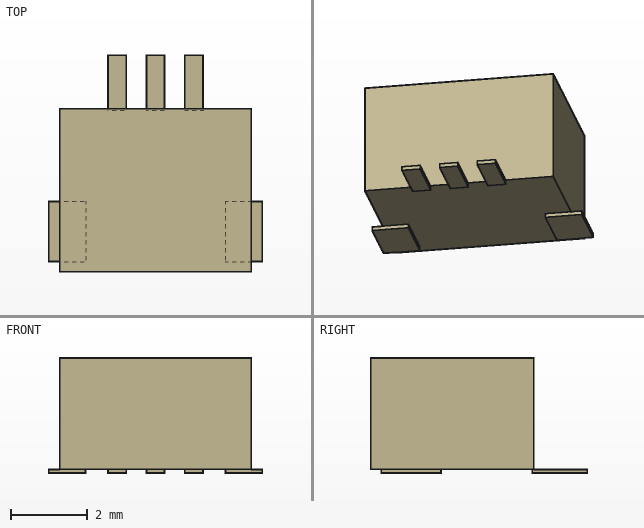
import cadquery as cq

total_width = 5.56
total_depth = 5.64
total_height = 3.0

housing_width = 4.995
housing_depth = 4.245
terminal_thickness = 0.1
housing_height = total_height - terminal_thickness

signal_count = 3
signal_pitch = 1.0
signal_width = 0.48
signal_length = 1.44

tab_width = 0.965
tab_depth = 1.56
tab_front_inset = 0.27

CORNER_AT_FRONT = (True, False, False)


def make_housing():
    return (
        cq.Workplane("XY")
        .box(housing_width, housing_depth, housing_height, centered=CORNER_AT_FRONT)
        .translate((0, 0, terminal_thickness))
    )


def make_signal_terminal(x):
    """Strip centred at x that ends at the rear of the part and reaches just under the housing."""
    return (
        cq.Workplane("XY")
        .box(signal_width, signal_length, terminal_thickness, centered=CORNER_AT_FRONT)
        .translate((x, total_depth - signal_length, 0))
    )


def make_mounting_tab(side):
    """Plate whose outer edge is the side of the part; side is -1 (left) or +1 (right)."""
    return (
        cq.Workplane("XY")
        .box(tab_width, tab_depth, terminal_thickness, centered=CORNER_AT_FRONT)
        .translate((side * (total_width - tab_width) / 2, tab_front_inset, 0))
    )


housing = make_housing()

signal_terminals = []
for index in range(signal_count):
    offset = index - (signal_count - 1) / 2
    signal_terminals.append(make_signal_terminal(offset * signal_pitch))

mounting_tabs = []
for side in (-1, 1):
    mounting_tabs.append(make_mounting_tab(side))

result = cq.Compound.makeCompound(
    [
        housing.val(),
        *[terminal.val() for terminal in signal_terminals],
        *[tab.val() for tab in mounting_tabs],
    ]
)